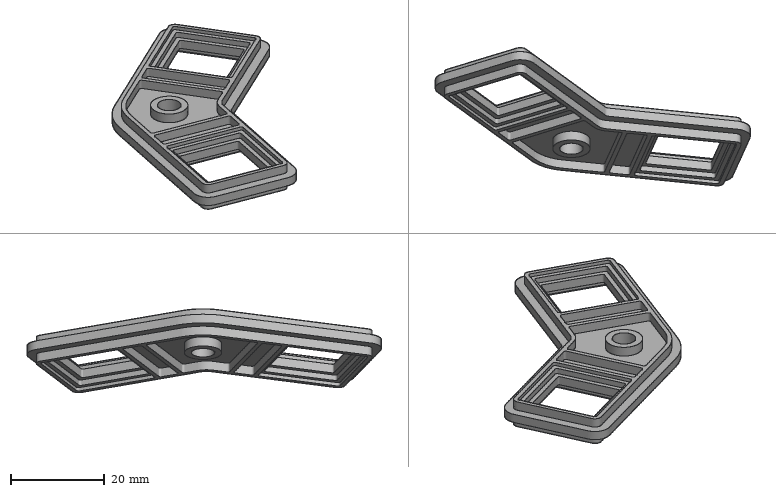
import cadquery as cq
import math

ARM_ANGLES = (0, 135)
ARM_LENGTH = 37.25
ARM_WIDTH = 24.5
END_CORNER_RADIUS = 3.5
INNER_BEND_RADIUS = 1.0

FLANGE_HEIGHT = 2.0
BODY_HEIGHT = 6.0
FLANGE_MARGIN = 2.0
WALL = 1.0
POCKET_CORNER_RADIUS = 0.5
WINDOW_CORNER_RADIUS = 0.35

SLOT_WIDTH = 4.5
SEAT_STEP_DEPTH = 0.8
SEAT_SIZE = 16.6
WINDOW_SIZE = 14.45

BOSS_HEIGHT = 6.2
BOSS_DIAMETER = 8.0
BORE_DIAMETER = 5.0

half_width = ARM_WIDTH / 2
bend_angle = math.radians(ARM_ANGLES[1] - ARM_ANGLES[0])
pocket_inset = FLANGE_MARGIN + WALL
pocket_width = ARM_WIDTH - 2 * pocket_inset
window_centre = ARM_LENGTH - pocket_inset - pocket_width / 2
slot_centre = window_centre - pocket_width / 2 - WALL - SLOT_WIDTH / 2
centre_pocket_reach = slot_centre - SLOT_WIDTH / 2 - WALL


def arm_point(angle, along, across):
    """Point at a distance along an arm and to the left of its centre line."""
    a = math.radians(angle)
    return (along * math.cos(a) - across * math.sin(a), along * math.sin(a) + across * math.cos(a))


def bent_prism(inset, reach, corner_radius, height):
    """Bent outline moved inwards by inset, with arms cut off at reach, centred on Z = 0."""
    first, second = ARM_ANGLES
    side = half_width - inset
    inner_bend = (first + second) / 2
    outer_bend = inner_bend + 180
    inner_arc_centre_offset = half_width + INNER_BEND_RADIUS
    inner_tangent_along = inner_arc_centre_offset / math.tan(bend_angle / 2)
    inner_arc_middle = inner_arc_centre_offset / math.sin(bend_angle / 2) - INNER_BEND_RADIUS - inset
    outline = (
        cq.Workplane("XY")
        .workplane(offset=-height / 2)
        .moveTo(*arm_point(first, 0, -side))
        .lineTo(*arm_point(first, reach, -side))
        .lineTo(*arm_point(first, reach, side))
        .lineTo(*arm_point(first, inner_tangent_along, side))
        .threePointArc(
            arm_point(inner_bend, inner_arc_middle, 0), arm_point(second, inner_tangent_along, -side)
        )
        .lineTo(*arm_point(second, reach, -side))
        .lineTo(*arm_point(second, reach, side))
        .lineTo(*arm_point(second, 0, side))
        .threePointArc(arm_point(outer_bend, side, 0), arm_point(first, 0, -side))
        .close()
    )
    prism = outline.extrude(height)
    for angle in ARM_ANGLES:
        for across in (-side, side):
            corner = (*arm_point(angle, reach, across), 0)
            edge = prism.edges("|Z").edges(cq.selectors.NearestToPointSelector(corner))
            prism = edge.fillet(corner_radius)
    return prism


def arm_block(angle, along, length, width, height, corner_radius=POCKET_CORNER_RADIUS):
    """Round-cornered block on an arm's centre line, centred on Z = 0."""
    return (
        cq.Workplane("XY")
        .box(length, width, height)
        .edges("|Z")
        .fillet(corner_radius)
        .translate((along, 0, 0))
        .rotate((0, 0, 0), (0, 0, 1), angle)
    )


flange = bent_prism(0, ARM_LENGTH, END_CORNER_RADIUS, FLANGE_HEIGHT)
body = bent_prism(
    FLANGE_MARGIN, ARM_LENGTH - FLANGE_MARGIN, END_CORNER_RADIUS - FLANGE_MARGIN, BODY_HEIGHT
)
body = body.cut(bent_prism(pocket_inset, centre_pocket_reach, POCKET_CORNER_RADIUS, BODY_HEIGHT))

for arm in ARM_ANGLES:
    body = body.cut(arm_block(arm, slot_centre, SLOT_WIDTH, pocket_width, BODY_HEIGHT))

    ledge_height = BODY_HEIGHT - 2 * SEAT_STEP_DEPTH
    ledge = arm_block(arm, window_centre, pocket_width, pocket_width, ledge_height)
    body = body.cut(arm_block(arm, window_centre, pocket_width, pocket_width, BODY_HEIGHT))
    body = body.union(ledge)
    body = body.cut(arm_block(arm, window_centre, SEAT_SIZE, SEAT_SIZE, BODY_HEIGHT))

result = body.union(flange)

for arm in ARM_ANGLES:
    window = arm_block(
        arm, window_centre, WINDOW_SIZE, WINDOW_SIZE, FLANGE_HEIGHT, WINDOW_CORNER_RADIUS
    )
    result = result.cut(window)

boss = cq.Workplane("XY").circle(BOSS_DIAMETER / 2).extrude(BOSS_HEIGHT / 2, both=True)
bore = cq.Workplane("XY").circle(BORE_DIAMETER / 2).extrude(BOSS_HEIGHT / 2, both=True)
result = result.union(boss).cut(bore)